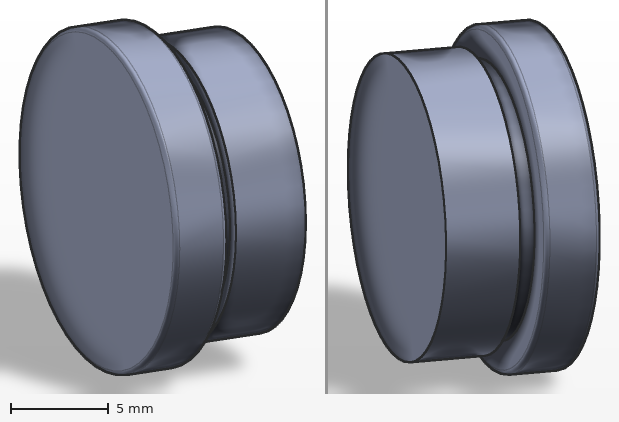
import cadquery as cq

head_diameter = 18.0
neck_diameter = 14.5
body_diameter = 15.85
total_length = 8.0
head_length = 3.0
neck_length = 0.99
body_length = total_length - head_length - neck_length
head_edge_radius = 0.25


def disc(diameter, start, length):
    """Solid disc on the Y axis, reaching from start toward +Y."""
    plane = cq.Workplane("XZ", origin=(0, start, 0))
    return plane.circle(diameter / 2).extrude(-length)


head = disc(head_diameter, 0, head_length).edges("%CIRCLE").fillet(head_edge_radius)

neck = disc(neck_diameter, head_length, neck_length)
body = disc(body_diameter, head_length + neck_length, body_length)

result = head.union(neck).union(body)